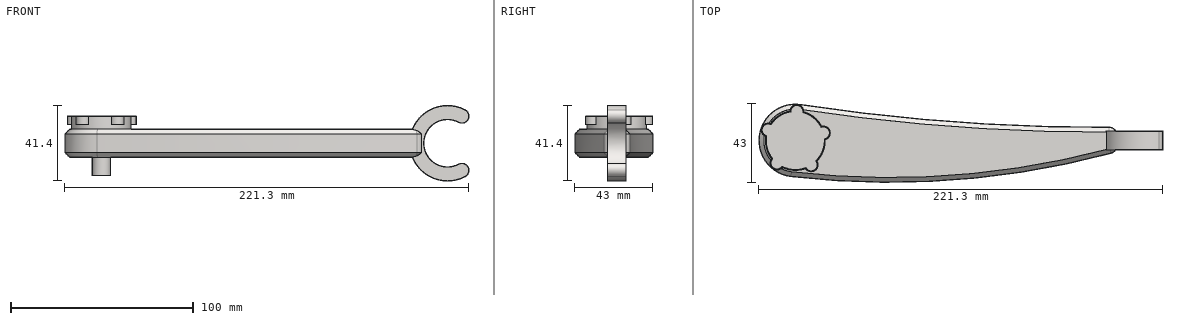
import cadquery as cq
import math

arm_height = 15.5
arm_chamfer = 2.7
arm_end_x = 195.8
arm_end_fillet = 4.0
head_radius = 20.0
head_x = head_radius
upper_tangent_angle = 81
lower_tangent_angle = 263
upper_mid = (101.8, 10.6)
upper_end = (arm_end_x, 7.3)
lower_mid = (106.2, -21.7)
lower_end = (arm_end_x, -6.2)

overall_length = 221.3
fork_outer_radius = 20.7
fork_inner_radius = 12.95
fork_width = 10.2
fork_open_angle = 62

knob_radius = 16.4
knob_height = 7.3
grip_height = 4.9
lobe_count = 5
lobe_radius = 3.8
lobe_center_radius = 16.0
lobe_start_angle = 15
knob_edge_chamfer = 0.5
pin_diameter = 10.2
pin_length = 10.0


def polar(radius, degrees, center_x=0.0):
    """Point at a radius and angle about (center_x, 0)."""
    angle = math.radians(degrees)
    return (center_x + radius * math.cos(angle), radius * math.sin(angle))


def make_arm():
    head_top = polar(head_radius, upper_tangent_angle, head_x)
    head_bottom = polar(head_radius, lower_tangent_angle, head_x)
    arm = (
        cq.Workplane("XY", origin=(0, 0, -arm_height / 2))
        .moveTo(*head_top)
        .threePointArc((0, 0), head_bottom)
        .threePointArc(lower_mid, lower_end)
        .lineTo(*upper_end)
        .threePointArc(upper_mid, head_top)
        .close()
        .extrude(arm_height)
    )
    arm = arm.edges("|Z and >X").fillet(arm_end_fillet)
    return arm.faces("<Z or >Z").edges().chamfer(arm_chamfer)


def make_fork():
    tip_radius = (fork_outer_radius - fork_inner_radius) / 2
    middle_radius = (fork_outer_radius + fork_inner_radius) / 2
    tip_offset = polar(middle_radius, fork_open_angle)[0]
    center_x = overall_length - tip_radius - tip_offset

    outer_top = polar(fork_outer_radius, fork_open_angle, center_x)
    inner_top = polar(fork_inner_radius, fork_open_angle, center_x)
    outer_bottom = polar(fork_outer_radius, -fork_open_angle, center_x)
    inner_bottom = polar(fork_inner_radius, -fork_open_angle, center_x)
    tip_top = polar(middle_radius, fork_open_angle, center_x)
    tip_bottom = polar(middle_radius, -fork_open_angle, center_x)

    bulge_x, bulge_z = polar(tip_radius, fork_open_angle - 90)
    return (
        cq.Workplane("XZ")
        .moveTo(*outer_top)
        .threePointArc((center_x - fork_outer_radius, 0), outer_bottom)
        .threePointArc((tip_bottom[0] + bulge_x, tip_bottom[1] - bulge_z), inner_bottom)
        .threePointArc((center_x - fork_inner_radius, 0), inner_top)
        .threePointArc((tip_top[0] + bulge_x, tip_top[1] + bulge_z), outer_top)
        .close()
        .extrude(fork_width / 2, both=True)
    )


def grip_disc(plane, radius):
    """Disc as tall as the grip, with its top edge chamfered."""
    disc = plane.circle(radius).extrude(grip_height)
    return disc.faces(">Z").edges().chamfer(knob_edge_chamfer)


def make_knob():
    """Round knob whose upper part carries the finger lobes."""
    top_z = arm_height / 2 + knob_height
    grip_plane = cq.Workplane("XY", origin=(head_x, 0, top_z - grip_height))
    grip = grip_disc(grip_plane, knob_radius)
    for index in range(lobe_count):
        angle = lobe_start_angle + index * 360 / lobe_count
        lobe_plane = grip_plane.center(*polar(lobe_center_radius, angle))
        grip = grip.union(grip_disc(lobe_plane, lobe_radius))
    neck = (
        cq.Workplane("XY", origin=(head_x, 0, 0))
        .circle(knob_radius)
        .extrude(top_z - grip_height)
    )
    return neck.union(grip)


def make_pin():
    return (
        cq.Workplane("XY", origin=(head_x, 0, 0))
        .circle(pin_diameter / 2)
        .extrude(-arm_height / 2 - pin_length)
    )


result = make_arm().union(make_fork()).union(make_knob()).union(make_pin())